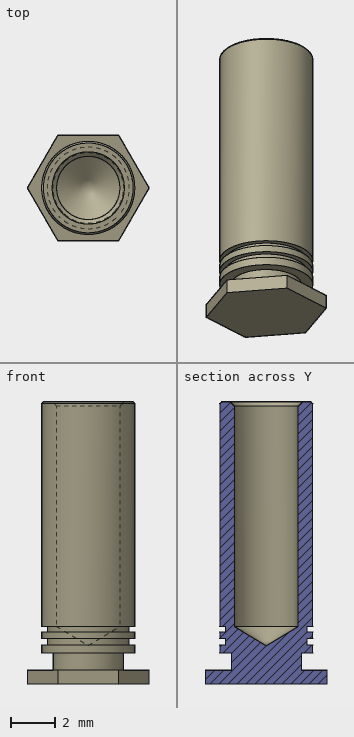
import cadquery as cq
import math

height = 12.7

head_across_flats = 4.75
head_height = 0.64

barrel_diameter = 4.19
neck_diameter = 3.18
neck_top = 1.4
rim_chamfer = 0.08

groove_diameter = 3.68
groove_spans = [(1.77, 2.05), (2.35, 2.59)]

bore_diameter = 2.85
mouth_diameter = 3.25
drill_point_angle = 118.0
bore_floor = 2.59
bore_radius = bore_diameter / 2
mouth_depth = (mouth_diameter - bore_diameter) / 2
point_depth = bore_radius / math.tan(math.radians(drill_point_angle / 2))


def make_head():
    across_corners = head_across_flats / math.cos(math.pi / 6)
    return cq.Workplane("XY").polygon(6, across_corners).extrude(head_height)


def make_barrel():
    barrel = (
        cq.Workplane("XY", origin=(0, 0, neck_top))
        .circle(barrel_diameter / 2)
        .extrude(height - neck_top)
    )
    return barrel.faces(">Z").edges().chamfer(rim_chamfer)


def make_neck():
    return cq.Workplane("XY").circle(neck_diameter / 2).extrude(neck_top)


def make_groove(bottom, top):
    return (
        cq.Workplane("XY", origin=(0, 0, bottom))
        .circle(barrel_diameter)
        .circle(groove_diameter / 2)
        .extrude(top - bottom)
    )


def make_bore():
    return (
        cq.Workplane("XZ")
        .moveTo(0, bore_floor - point_depth)
        .lineTo(bore_radius, bore_floor)
        .lineTo(bore_radius, height - mouth_depth)
        .lineTo(mouth_diameter / 2, height)
        .lineTo(0, height)
        .close()
        .revolve(360, (0, 0, 0), (0, 1, 0))
    )


barrel = make_barrel()
for bottom, top in groove_spans:
    barrel = barrel.cut(make_groove(bottom, top))

result = make_head().union(make_neck()).union(barrel).cut(make_bore())